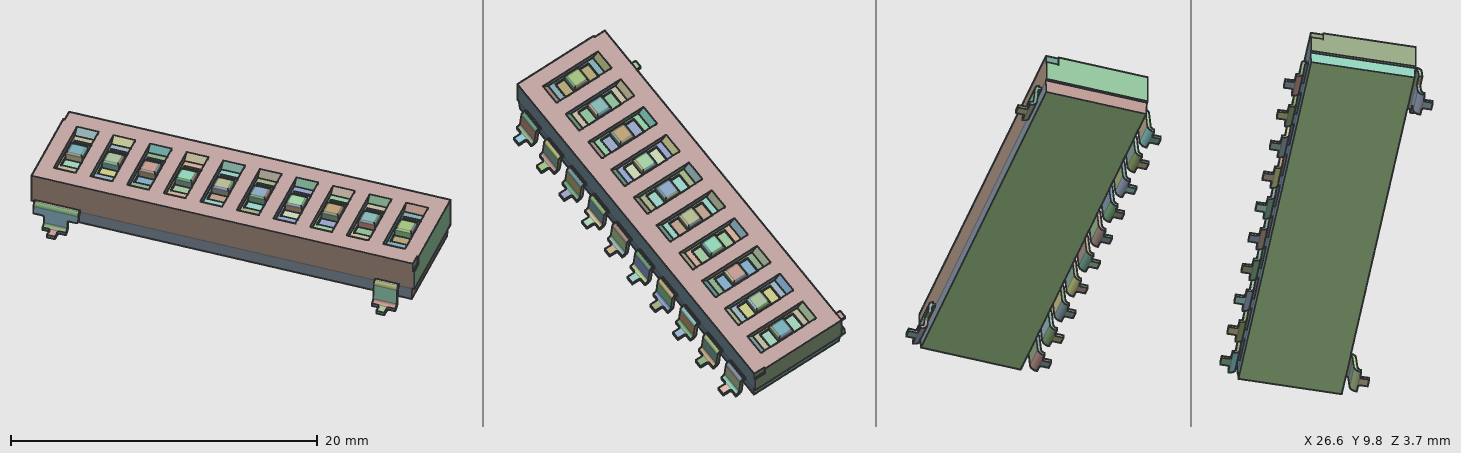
import cadquery as cq
import math

cover_length = 26.55
cover_width = 6.95
top_z = 3.7
lead_span = 9.8

cover_bottom_z = 1.57
base_bottom_z = 0.6
base_length = 26.25
base_width = cover_width
base_taper = 3.0

notch_depth = 0.1
notch_width = 0.82
notch_height = 0.65

switch_count = 10
switch_row_length = 22.85
switch_pitch = switch_row_length / (switch_count - 1)
switch_xs = [-switch_row_length / 2 + i * switch_pitch for i in range(switch_count)]

recess_width = 1.51
recess_length = 4.44
recess_depth = 0.42
recess_end_run = 0.42
window_width = 1.2
window_length = 2.65
window_depth = 0.15
knob_width = 1.17
knob_length = 1.12
knob_fillet = 0.12
knob_y = 0.05
window_floor_z = top_z - recess_depth - window_depth

sheet = 0.225
lead_width = 1.62
lead_top_z = 1.83
embed = 0.27
root_y = cover_width / 2 - embed
root_step_y = 3.65
root_step = 0.13
shoulder_y = 3.9
shoulder_drop = 0.13
shoulder_radius = 0.35
leg_lean = 5.0
ankle_radius = 0.25
foot_end_y = 4.28
toe_width = 0.55
toe_fillet = 0.13
pick_reach = 0.003

wide_left_x = -13.0
wide_right_x = -9.88
wide_bottom_z = 0.95
wide_fillet = 0.13


def make_cover():
    cover = cq.Workplane("XY").workplane(offset=cover_bottom_z).box(
        cover_length, cover_width, top_z - cover_bottom_z, centered=(True, True, False)
    )
    notch = cq.Workplane("XY").box(2 * notch_depth, 2 * notch_width, 2 * notch_height)
    for side in (-1, 1):
        corner = (side * cover_length / 2, -side * cover_width / 2, top_z)
        cover = cover.cut(notch.translate(corner))
    return cover


def make_base():
    return (
        cq.Workplane("XY", origin=(0, 0, cover_bottom_z))
        .rect(base_length, base_width)
        .extrude(base_bottom_z - cover_bottom_z, taper=base_taper)
    )


def make_recess(x):
    half = recess_length / 2
    floor_half = half - recess_end_run
    floor_z = top_z - recess_depth
    recess = (
        cq.Workplane("YZ", origin=(x, 0, 0))
        .polyline([(-half, top_z), (-floor_half, floor_z), (floor_half, floor_z), (half, top_z)])
        .close()
        .extrude(recess_width / 2, both=True)
    )
    window = cq.Workplane("XY", origin=(x, 0, window_floor_z)).box(
        window_width, window_length, recess_depth + window_depth, centered=(True, True, False)
    )
    return recess.union(window)


def make_knob(x):
    return (
        cq.Workplane("XY", origin=(x, knob_y, window_floor_z))
        .rect(knob_width, knob_length)
        .extrude(top_z - window_floor_z)
        .faces(">Z")
        .edges()
        .fillet(knob_fillet)
    )


def bend(strip, corner, radius):
    """Round the strip's edge along X that passes through the (y, z) corner."""
    y, z = corner
    picker = cq.selectors.BoxSelector(
        (-cover_length, y - pick_reach, z - pick_reach), (cover_length, y + pick_reach, z + pick_reach)
    )
    return strip.edges(picker).fillet(radius)


def make_strip(left_x, right_x):
    """Bent sheet of a +Y lead, from its root in the body to the end of the full-width foot."""
    run = (lead_top_z - sheet) * math.tan(math.radians(leg_lean))
    ankle_y = shoulder_y + run
    shoulder_outer = (shoulder_y, lead_top_z - shoulder_drop)
    shoulder_inner = (shoulder_y - sheet, lead_top_z - shoulder_drop - sheet)
    ankle_inner = (ankle_y, sheet)
    ankle_outer = (ankle_y - sheet, 0)
    outline = [
        (root_y, lead_top_z - root_step),
        (root_step_y, lead_top_z - root_step),
        (root_step_y, lead_top_z),
        shoulder_outer,
        ankle_inner,
        (foot_end_y, sheet),
        (foot_end_y, 0),
        ankle_outer,
        shoulder_inner,
        (root_y, lead_top_z - sheet),
    ]
    strip = (
        cq.Workplane("YZ", origin=(left_x, 0, 0)).polyline(outline).close().extrude(right_x - left_x)
    )
    strip = bend(strip, shoulder_outer, shoulder_radius)
    strip = bend(strip, shoulder_inner, shoulder_radius - sheet)
    strip = bend(strip, ankle_inner, ankle_radius)
    return bend(strip, ankle_outer, ankle_radius + sheet)


def make_toe(x):
    """Narrow tip of a +Y lead, flaring where it leaves the foot."""
    tip_y = lead_span / 2
    half = toe_width / 2
    flare = half + toe_fillet
    flare_y = foot_end_y + toe_fillet
    return (
        cq.Workplane("XY", origin=(x, 0, 0))
        .moveTo(-half, tip_y)
        .lineTo(half, tip_y)
        .lineTo(half, flare_y)
        .radiusArc((flare, foot_end_y), -toe_fillet)
        .lineTo(-flare, foot_end_y)
        .radiusArc((-half, flare_y), -toe_fillet)
        .close()
        .extrude(sheet)
    )


def make_lead(x):
    return make_strip(x - lead_width / 2, x + lead_width / 2).union(make_toe(x))


def make_wide_lead(x):
    """+Y lead with a wide shoulder above wide_bottom_z and a normal leg below it."""
    leg_left = x - lead_width / 2
    leg_right = x + lead_width / 2
    mask = (
        cq.Workplane("XZ")
        .moveTo(wide_left_x, lead_top_z)
        .lineTo(wide_left_x, wide_bottom_z)
        .lineTo(leg_left - wide_fillet, wide_bottom_z)
        .radiusArc((leg_left, wide_bottom_z - wide_fillet), wide_fillet)
        .lineTo(leg_left, 0)
        .lineTo(leg_right, 0)
        .lineTo(leg_right, wide_bottom_z - wide_fillet)
        .radiusArc((leg_right + wide_fillet, wide_bottom_z), wide_fillet)
        .lineTo(wide_right_x - wide_fillet, wide_bottom_z)
        .radiusArc((wide_right_x, wide_bottom_z + wide_fillet), -wide_fillet)
        .lineTo(wide_right_x, lead_top_z)
        .close()
        .extrude(-lead_span)
    )
    return make_strip(wide_left_x, wide_right_x).intersect(mask).union(make_toe(x))


result = make_cover().union(make_base())
for switch_x in switch_xs:
    result = result.cut(make_recess(switch_x)).union(make_knob(switch_x))
    result = result.union(make_lead(switch_x))
result = result.union(make_wide_lead(switch_xs[0]).mirror("XZ"))
result = result.union(make_lead(switch_xs[-1]).mirror("XZ"))